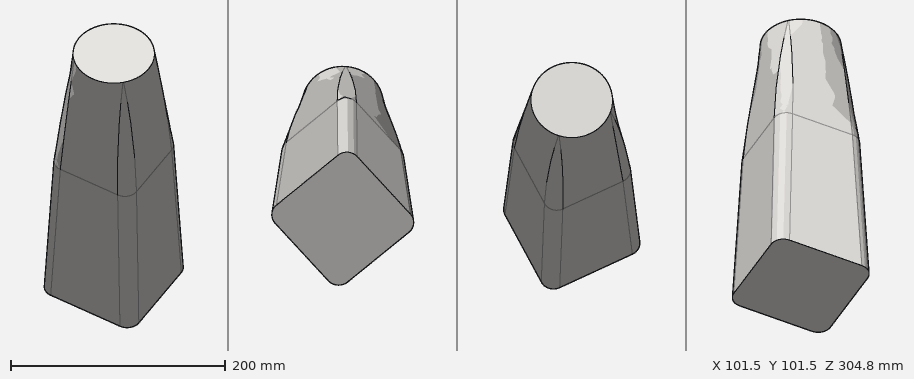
import cadquery as cq
import math

base_side = 101.5
shoulder_side = 88.5
corner_radius = 12.8
top_diameter = 76.2
shoulder_height = 169.5
total_height = 304.8
corner_half_angle = 0.5

neck_seam_depth = 38.0
neck_seam_offset = 28.3

neck_height = total_height - shoulder_height


def polar(radius, angle):
    """Point on a circle about the part axis, with the angle in degrees."""
    turn = math.radians(angle)
    return (radius * math.cos(turn), radius * math.sin(turn))


def square_points(side):
    """Side middle, side end and corner middle of one eighth of a rounded square."""
    half = side / 2
    offset = half - corner_radius
    corner_middle = offset + corner_radius / math.sqrt(2)
    return [(half, 0), (half, offset), (corner_middle, corner_middle)]


def circle_points():
    """The matching three points on the top circle."""
    return [polar(top_diameter / 2, angle) for angle in (0, 45 - corner_half_angle, 45)]


def middle_points():
    """Section halfway up the neck: middles stay on straight lines while side ends bow outward."""
    halfway = [
        ((low[0] + high[0]) / 2, (low[1] + high[1]) / 2)
        for low, high in zip(square_points(shoulder_side), circle_points())
    ]
    side_middle, _, corner_middle = halfway
    return [side_middle, (neck_seam_depth, neck_seam_offset), corner_middle]


def turned(point, quarters, height):
    """Point at a height, turned about the part axis by quarter turns."""
    x, y = point
    for _ in range(quarters):
        x, y = -y, x
    return cq.Vector(x, y, height)


def section(points, height, straight_sides=False):
    """Closed wire of four sides and four corner arcs, mirrored and turned from three points."""
    side_middle, side_end, corner_middle = points
    side_start = (side_end[0], -side_end[1])
    corner_end = (side_end[1], side_end[0])
    outline = (side_start, side_middle, side_end, corner_middle, corner_end)
    edges = []
    for quarter in range(4):
        start, middle, end, corner, finish = [turned(point, quarter, height) for point in outline]
        if straight_sides:
            edges.append(cq.Edge.makeLine(start, end))
        else:
            edges.append(cq.Edge.makeThreePointArc(start, middle, end))
        edges.append(cq.Edge.makeThreePointArc(end, corner, finish))
    return cq.Wire.assembleEdges(edges)


base = section(square_points(base_side), 0, straight_sides=True)
shoulder = section(square_points(shoulder_side), shoulder_height, straight_sides=True)
lower_body = cq.Solid.makeLoft([base, shoulder], True)

neck_middle = section(middle_points(), shoulder_height + neck_height / 2)
top = section(circle_points(), total_height)
neck = cq.Solid.makeLoft([shoulder, neck_middle, top])

result = cq.Workplane(lower_body).union(cq.Workplane(neck))